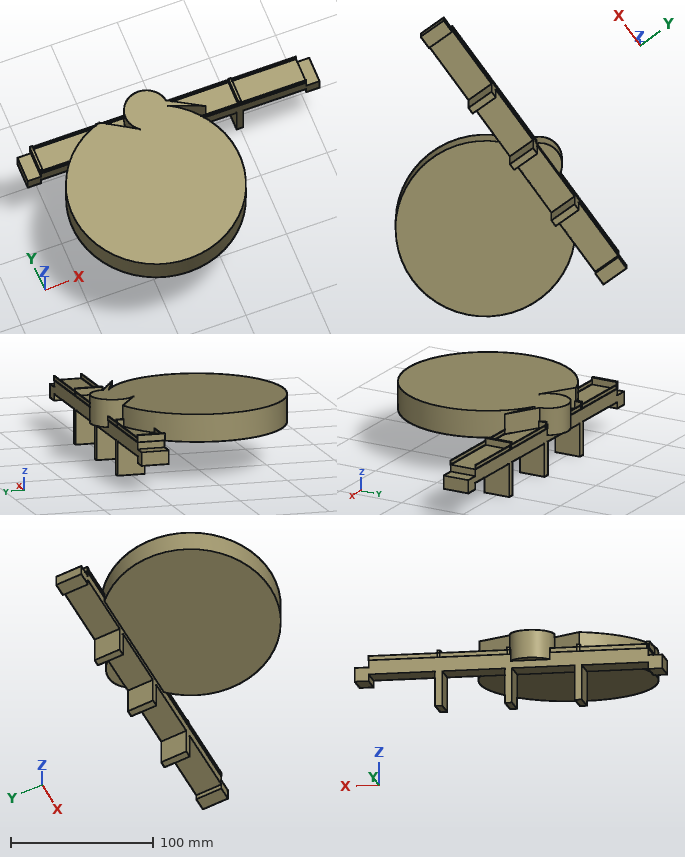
import cadquery as cq
import math


total_length = 220.0
beam_width = 20.0
beam_height = 10.1
beam_length = 200.0
end_tab_length = (total_length - beam_length) / 2
end_tab_height = 10.0
beam_top = beam_height / 2

spacing = 50.0
leg_thickness = 5.0
leg_bottom = -30.0
strip_thickness = 2.0
strip_height = 5.0

rail_thickness = 0.5
rail_height = 3.0

plate_thickness = 20.0
disc_radius = 63.4
disc_x, disc_y = -30.8, -55.0
head_radius = 15.8
head_x, head_y = -15.6, 2.6
notch_start_x = -50.0
notch_tip_x = -25.0
spike_top_y = 4.8
spike_tip = (24.5, -9.5)
spike_root_x = -0.2


def box_on(x, y, z_bottom, length, width, height):
    """Box centred on (x, y) and standing on z_bottom."""
    base = cq.Workplane("XY", origin=(x, y, z_bottom))
    return base.box(length, width, height, centered=(True, True, False))


def make_beam():
    """Beam with a lower tab running out at both ends."""
    beam = box_on(0, 0, -beam_height / 2, beam_length, beam_width, beam_height)
    for side in (-1, 1):
        tab_x = side * (beam_length + end_tab_length) / 2
        beam = beam.union(box_on(tab_x, 0, -end_tab_height, end_tab_length, beam_width, end_tab_height))
    return beam


def add_legs(body):
    """Three legs spread about the middle of the beam."""
    for step in (-1, 0, 1):
        body = body.union(box_on(step * spacing, 0, leg_bottom, leg_thickness, beam_width, -leg_bottom))
    return body


def add_rails_and_strips(body):
    """Two rails along the beam and four strips across it."""
    for side in (-1, 1):
        rail_y = side * beam_width / 2
        body = body.union(box_on(0, rail_y, beam_top, beam_length, rail_thickness, rail_height))
    for step in (-2, -1, 0, 1):
        body = body.union(box_on(step * spacing, 0, beam_top, strip_thickness, beam_width, strip_height))
    return body


def make_plate():
    """Plate whose outline runs over the notch, the head, the spike and the disc."""
    notch_start = (notch_start_x, disc_y + math.sqrt(disc_radius**2 - (notch_start_x - disc_x) ** 2))
    notch_tip = (notch_tip_x, head_y - math.sqrt(head_radius**2 - (notch_tip_x - head_x) ** 2))
    spike_top = (head_x + math.sqrt(head_radius**2 - (spike_top_y - head_y) ** 2), spike_top_y)
    spike_root = (spike_root_x, disc_y + math.sqrt(disc_radius**2 - (spike_root_x - disc_x) ** 2))
    outline = (
        cq.Workplane("XY")
        .moveTo(*notch_start)
        .lineTo(*notch_tip)
        .threePointArc((head_x, head_y + head_radius), spike_top)
        .lineTo(*spike_tip)
        .lineTo(*spike_root)
        .threePointArc((disc_x, disc_y - disc_radius), notch_start)
        .close()
    )
    return outline.extrude(plate_thickness)


result = add_rails_and_strips(add_legs(make_beam())).union(make_plate())